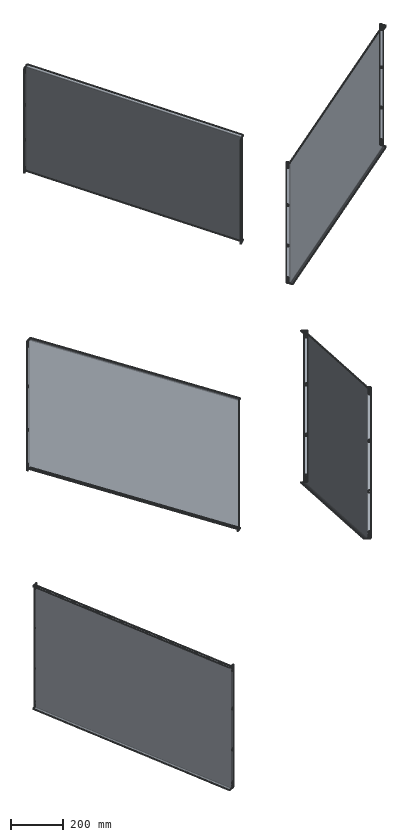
import cadquery as cq

width = 906.0
depth = 27.0
height = 600.0
thickness = 1.0
bend_radius = 1.4
inner_bend_radius = bend_radius - thickness

side_flange_depth = 15.0
side_flange_chamfer = 4.0
rear_flange_inset = 1.0
rear_flange_chamfer = 3.0
relief_width = 4.0
relief_height = 3.0

hole_diameter = 10.0
hole_setback = 5.8
end_hole_offset = 12.0
end_hole_pitch = 14.0
lower_middle_hole = 187.0
middle_hole_pitch = 199.0

front = -depth / 2
rear = depth / 2
panel_rear = front + side_flange_depth
panel_front = panel_rear - thickness
half_width = width / 2
half_height = height / 2


def make_side_channel():
    """Panel with both rounded side flanges, square at its top and bottom ends."""
    outside = (
        cq.Workplane("XY")
        .box(width, side_flange_depth, height)
        .edges(">Y and |Z")
        .fillet(bend_radius)
    )
    inside = (
        cq.Workplane("XY")
        .box(width - 2 * thickness, side_flange_depth, height)
        .edges(">Y and |Z")
        .fillet(inner_bend_radius)
        .translate((0, -thickness, 0))
    )
    return outside.cut(inside).translate((0, panel_rear - side_flange_depth / 2, 0))


def make_flange_corner_cutter(end):
    """Wedge that chamfers the front corners of both side flanges at one end."""
    tip = end * half_height
    return (
        cq.Workplane("YZ")
        .moveTo(front, tip)
        .lineTo(front + side_flange_chamfer, tip)
        .lineTo(front, tip - end * side_flange_chamfer)
        .close()
        .extrude(half_width, both=True)
    )


def make_end_cutter(end):
    """Clears the panel end for the rear flange bend and leaves the notch ahead of it."""
    notch_front = panel_front - relief_width
    return (
        cq.Workplane("XY")
        .box(width, panel_rear - notch_front, relief_height)
        .translate((0, (panel_rear + notch_front) / 2, end * (half_height - relief_height / 2)))
    )


def make_rear_flange(end):
    """Rounded bend and rearward flange on the bottom (end = -1) or top (end = 1) edge."""
    tip = end * half_height
    inner_face = tip - end * thickness
    bend_start = tip - end * bend_radius
    root = tip - end * relief_height
    bend_end = panel_front + bend_radius
    profile = (
        cq.Workplane("YZ")
        .moveTo(panel_front, root)
        .lineTo(panel_front, bend_start)
        .radiusArc((bend_end, tip), end * bend_radius)
        .lineTo(rear, tip)
        .lineTo(rear, inner_face)
        .lineTo(bend_end, inner_face)
        .radiusArc((panel_rear, bend_start), -end * inner_bend_radius)
        .lineTo(panel_rear, root)
        .close()
    )
    flange = profile.extrude(half_width - rear_flange_inset, both=True)
    return flange.edges(">Y and |Z").chamfer(rear_flange_chamfer)


def make_hole_cutters():
    """Pins along X through both side flanges."""
    outer_hole = half_height - end_hole_offset
    inner_hole = outer_hole - end_hole_pitch
    middle_hole = lower_middle_hole - half_height
    heights = [-outer_hole, -inner_hole, middle_hole, middle_hole + middle_hole_pitch, inner_hole, outer_hole]
    hole_centres = [(front + hole_setback, z) for z in heights]
    return (
        cq.Workplane("YZ")
        .pushPoints(hole_centres)
        .circle(hole_diameter / 2)
        .extrude(half_width, both=True)
    )


result = make_side_channel().cut(make_hole_cutters())
for panel_end in (-1, 1):
    result = result.cut(make_flange_corner_cutter(panel_end))
    result = result.cut(make_end_cutter(panel_end))
    result = result.union(make_rear_flange(panel_end))